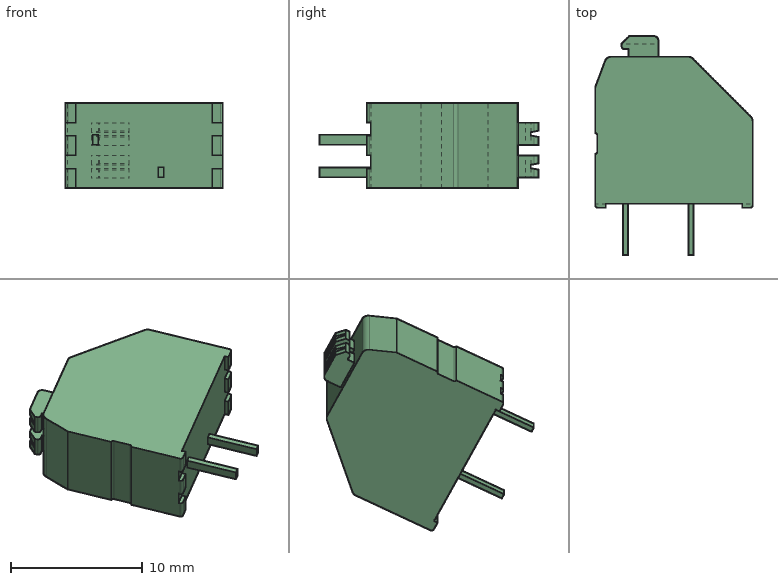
import cadquery as cq


width = 12.0
overall_length = 16.7
length = 11.52
height = 6.5
left_slope_run = 0.87
left_slope_drop = 2.32
right_bevel = 4.73
shoulder_radius = 0.53
right_corner_radius = 0.5

groove_start = 4.1
groove_end = 5.7
groove_depth = 0.15

foot_width = 0.82
foot_depth = 0.3
foot_gap = 1.0
foot_radius = 0.2
pole_count = 2
foot_rows = pole_count + 1
foot_height = (height - (foot_rows - 1) * foot_gap) / foot_rows

pole_pitch = 2.49

pin_width = 0.4
pin_height = 0.77
pin_reach = 3.6
pin_spacing = 5.0
upper_pin_x = 2.3
lower_pin_z = 1.2

lever_reach = overall_length - length - pin_reach
lever_height = 1.7
lower_lever_z = 1.65
stem_left = 2.52
stem_right = 4.83
hook_tip = 2.0
hook_drop = 1.0
ramp_run = 0.6
ramp_drop = 0.58
hook_radius = 0.2
lever_corner_radius = 0.38
notch_mouth = 0.47
notch_floor = 0.23
notch_depth = ramp_drop


def make_housing():
    """Prism with a sloped left shoulder and a large bevel on the right."""
    block = (
        cq.Workplane("XY")
        .moveTo(0, 0)
        .lineTo(width, 0)
        .lineTo(width, length - right_bevel)
        .lineTo(width - right_bevel, length)
        .lineTo(left_slope_run, length)
        .lineTo(0, length - left_slope_drop)
        .close()
        .extrude(height)
    )

    def round_edge_at(body, x, y, radius):
        edge = cq.selectors.NearestToPointSelector((x, y, height / 2))
        return body.edges("|Z").edges(edge).fillet(radius)

    block = round_edge_at(block, 0, 0, foot_radius)
    block = round_edge_at(block, width, 0, foot_radius)
    block = round_edge_at(block, left_slope_run, length, shoulder_radius)
    block = round_edge_at(block, width - right_bevel, length, right_corner_radius)
    return round_edge_at(block, width, length - right_bevel, right_corner_radius)


def make_groove():
    """Full-height groove whose floor meets its walls in concave rounds."""
    return (
        cq.Workplane("XY")
        .moveTo(0, groove_start)
        .radiusArc((groove_depth, groove_start + groove_depth), -groove_depth)
        .lineTo(groove_depth, groove_end - groove_depth)
        .radiusArc((0, groove_end), -groove_depth)
        .close()
        .extrude(height)
    )


def make_underside_clearance():
    """Material removed below the base so that only the corner feet remain."""
    clearance = cq.Workplane("XY").box(width - 2 * foot_width, foot_depth, height, centered=False)
    clearance = clearance.translate((foot_width, 0, 0))
    for row in range(foot_rows - 1):
        gap_z = foot_height + row * (foot_height + foot_gap)
        gap = cq.Workplane("XY").box(width, foot_depth, foot_gap, centered=False)
        clearance = clearance.union(gap.translate((0, 0, gap_z)))
    return clearance


def make_pin(x, z):
    """Straight rectangular pin standing out of the base."""
    return (
        cq.Workplane("XZ", origin=(x, foot_depth, z))
        .rect(pin_width, pin_height)
        .extrude(foot_depth + pin_reach)
    )


def make_lever(z):
    """Hooked lever with a tapered notch across its top, centred on height z."""
    top = length + lever_reach
    hook_bottom = top - hook_drop
    body = (
        cq.Workplane("XY", origin=(0, 0, z - lever_height / 2))
        .moveTo(stem_left, length)
        .lineTo(stem_left, hook_bottom)
        .lineTo(hook_tip + hook_radius, hook_bottom)
        .radiusArc((hook_tip, hook_bottom + hook_radius), hook_radius)
        .lineTo(hook_tip, top - ramp_drop)
        .lineTo(hook_tip + ramp_run, top)
        .lineTo(stem_right - lever_corner_radius, top)
        .radiusArc((stem_right, top - lever_corner_radius), lever_corner_radius)
        .lineTo(stem_right, length)
        .close()
        .extrude(lever_height)
    )
    notch = (
        cq.Workplane("YZ", origin=(hook_tip, 0, z))
        .moveTo(top, -notch_mouth / 2)
        .lineTo(top, notch_mouth / 2)
        .lineTo(top - notch_depth, notch_floor / 2)
        .lineTo(top - notch_depth, -notch_floor / 2)
        .close()
        .extrude(stem_right - hook_tip)
    )
    return body.cut(notch)


result = make_housing().cut(make_groove()).cut(make_underside_clearance())

result = result.union(make_pin(upper_pin_x, lower_pin_z + pole_pitch))
result = result.union(make_pin(upper_pin_x + pin_spacing, lower_pin_z))

for pole in range(pole_count):
    result = result.union(make_lever(lower_lever_z + pole * pole_pitch))